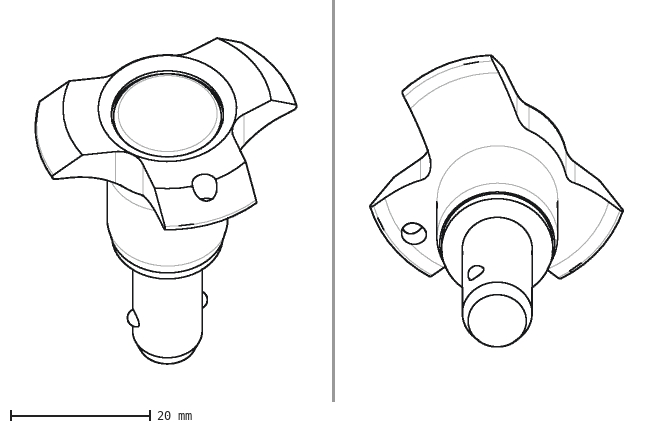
import cadquery as cq
import math

top_z = 52.3
wing_span = 38.0
wing_tip_radius = wing_span / 2
wing_height = 4.8
rim_round = 0.6
wing_top_radius = 15.0

body_radius = 8.7
body_flare = 7.85
body_bottom_z = 27.4
taper_bottom_z = 25.3
taper_end_radius = 8.25
collar_radius = 8.0
collar_bottom_z = 23.65

wing_half_width = 7.0
wing_angle = math.radians(103)
wing_reach = 23.55
hub_radius = 10.05
web_fillet = 3.7
lanyard_hole_radius = 1.8
lanyard_hole_x = 15.05

dish_radius = 9.95
dish_floor_radius = 8.05
dish_depth = 1.2
groove_depth = 1.85
button_radius = 7.75
button_edge_drop = 1.1
button_round = 0.65
button_dome = 0.45

pin_radius = 5.0
pin_tip_radius = 4.2
pin_tip_height = 2.4
ball_radius = 1.3
ball_z = 7.4
ball_reach = 6.05


def turned_body():
    """Handle, dished top and pin as one revolved profile (radius, height)."""
    underside_z = top_z - wing_height
    flare_x = body_radius + body_flare
    flare_z = underside_z - body_flare
    diagonal = math.sqrt(0.5)
    rim_x = wing_tip_radius - rim_round
    rim_z = underside_z + rim_round
    button_z = top_z - button_edge_drop
    button_flat_radius = button_radius - button_round
    profile = (
        cq.Workplane("XZ")
        .moveTo(0, 0)
        .lineTo(pin_tip_radius, 0)
        .lineTo(pin_radius, pin_tip_height)
        .lineTo(pin_radius, collar_bottom_z)
        .lineTo(collar_radius, collar_bottom_z)
        .lineTo(collar_radius, taper_bottom_z)
        .lineTo(taper_end_radius, taper_bottom_z)
        .lineTo(body_radius, body_bottom_z)
        .lineTo(body_radius, flare_z)
        .threePointArc(
            (flare_x - body_flare * diagonal, flare_z + body_flare * diagonal),
            (flare_x, underside_z),
        )
        .lineTo(rim_x, underside_z)
        .threePointArc(
            (wing_tip_radius, rim_z),
            (rim_x + rim_round * diagonal, rim_z + rim_round * diagonal),
        )
        .lineTo(wing_top_radius, top_z)
        .lineTo(dish_radius, top_z)
        .lineTo(dish_floor_radius, top_z - dish_depth)
        .lineTo(dish_floor_radius, top_z - groove_depth)
        .lineTo(button_radius, top_z - groove_depth)
        .lineTo(button_radius, button_z - button_round)
        .threePointArc(
            (
                button_flat_radius + button_round * diagonal,
                button_z - button_round + button_round * diagonal,
            ),
            (button_flat_radius, button_z),
        )
    )
    dome_radius = (button_flat_radius**2 + button_dome**2) / (2 * button_dome)
    mid_x = button_flat_radius / 2
    mid_z = button_z + button_dome - dome_radius + math.sqrt(dome_radius**2 - mid_x**2)
    profile = profile.threePointArc((mid_x, mid_z), (0, button_z + button_dome)).close()
    return profile.revolve(360, (0, 0, 0), (0, 1, 0))


def wing_plan():
    """Vertical prism of the three-winged outline, filleted where wings meet."""
    cos_a = math.cos(wing_angle)
    sin_a = math.sin(wing_angle)

    def on_wing(along, across):
        """Point in the angled +Y wing; across is positive toward the -X side."""
        return (along * cos_a - across * sin_a, along * sin_a + across * cos_a)

    def mirrored(point):
        return (point[0], -point[1])

    half_angle = wing_angle / 2
    center_distance = (wing_half_width + web_fillet) / math.sin(half_angle)
    tangent_along = center_distance * math.cos(half_angle)
    web_distance = center_distance - web_fillet
    web_mid = (web_distance * math.cos(half_angle), web_distance * math.sin(half_angle))
    web_start = (tangent_along, wing_half_width)
    web_end = on_wing(tangent_along, -wing_half_width)

    offset = wing_half_width + web_fillet
    span = hub_radius + web_fillet
    along = math.sqrt(span**2 - offset**2)
    center = on_wing(along, offset)
    hub_start = on_wing(along, wing_half_width)
    hub_end = (center[0] * hub_radius / span, center[1] * hub_radius / span)
    to_start = (hub_start[0] - center[0], hub_start[1] - center[1])
    to_end = (hub_end[0] - center[0], hub_end[1] - center[1])
    middle = (to_start[0] + to_end[0], to_start[1] + to_end[1])
    stretch = web_fillet / math.hypot(*middle)
    hub_mid = (center[0] + middle[0] * stretch, center[1] + middle[1] * stretch)

    tip_inner = on_wing(wing_reach, -wing_half_width)
    tip_outer = on_wing(wing_reach, wing_half_width)
    return (
        cq.Workplane("XY")
        .moveTo(wing_reach, -wing_half_width)
        .lineTo(wing_reach, wing_half_width)
        .lineTo(*web_start)
        .threePointArc(web_mid, web_end)
        .lineTo(*tip_inner)
        .lineTo(*tip_outer)
        .lineTo(*hub_start)
        .threePointArc(hub_mid, hub_end)
        .threePointArc((-hub_radius, 0), mirrored(hub_end))
        .threePointArc(mirrored(hub_mid), mirrored(hub_start))
        .lineTo(*mirrored(tip_outer))
        .lineTo(*mirrored(tip_inner))
        .lineTo(*mirrored(web_end))
        .threePointArc(mirrored(web_mid), mirrored(web_start))
        .close()
        .extrude(top_z)
    )


def locking_balls():
    """Two balls bulging from opposite sides of the pin along Y."""
    ball_offset = ball_reach - ball_radius
    centers = [(0, -ball_offset), (0, ball_offset)]
    return cq.Workplane("XY", origin=(0, 0, ball_z)).pushPoints(centers).sphere(ball_radius)


lanyard_hole = (
    cq.Workplane("XY").center(lanyard_hole_x, 0).circle(lanyard_hole_radius).extrude(top_z)
)

result = turned_body().intersect(wing_plan()).union(locking_balls()).cut(lanyard_hole)